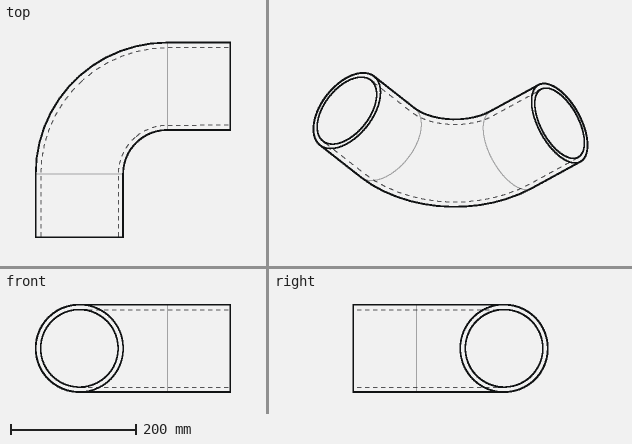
import cadquery as cq

overall_length = 311.0
outer_diameter = 140.0
wall_thickness = 8.0
bend_radius = 140.0

outer_radius = outer_diameter / 2
inner_radius = outer_radius - wall_thickness
straight_length = overall_length - bend_radius - outer_radius


def straight_pipe(plane):
    """Pipe end starting at the plane and running along its normal."""
    return (
        cq.Workplane(plane)
        .circle(outer_radius)
        .circle(inner_radius)
        .extrude(straight_length)
    )


bend = (
    cq.Workplane("XZ")
    .circle(outer_radius)
    .circle(inner_radius)
    .revolve(90, (bend_radius, 0, 0), (bend_radius, -1, 0))
)

front_end = straight_pipe(cq.Plane(origin=(0, 0, 0), xDir=(1, 0, 0), normal=(0, -1, 0)))
side_end = straight_pipe(
    cq.Plane(origin=(bend_radius, bend_radius, 0), xDir=(0, 1, 0), normal=(1, 0, 0))
)

result = bend.union(front_end).union(side_end)